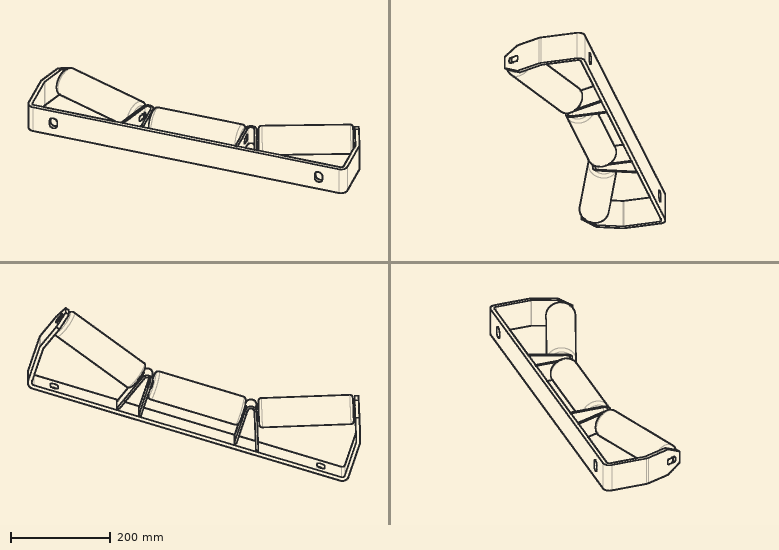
import cadquery as cq
import math

frame_length = 680.0
frame_width = 60.0
tilt = 20.0

frame_thickness = 8.0
bend_radius = 13.5
knee_y = 90.5
arm_tip_y = 171.5
tip_chamfer_width = 17.0
tip_chamfer_length = 31.0

mount_slot_x = 283.0
mount_slot_width = 16.0
mount_slot_length = 24.5

support_width = 40.0
support_thickness = 5.0
support_face_x = 98.5
support_top_y = 95.0
support_bend_radius = 11.5

roller_diameter = frame_width
roller_length = 191.0
roller_end_fillet = 6.0
middle_roller_y = 71.5
side_roller_x = 218.0
side_roller_y = 111.5

shaft_diameter = 15.5
shaft_slot_length = 22.0
flat_width = 12.0
flat_clearance = 1.5

tilt_angle = math.radians(tilt)
sin_tilt = math.sin(tilt_angle)
cos_tilt = math.cos(tilt_angle)
half_length = frame_length / 2
half_width = frame_width / 2
bend_inside_radius = bend_radius - frame_thickness
arm_length = (arm_tip_y - knee_y) / cos_tilt
fold_x = -support_face_x - support_bend_radius
fold_y = support_top_y - support_bend_radius
slot_offset = (shaft_slot_length - shaft_diameter) / 2


def along_side_axis(x, y):
    """Distance of a point from the left roller's centre, measured along that roller's axis."""
    return (x + side_roller_x) * cos_tilt - (y - side_roller_y) * sin_tilt


arm_reach = -along_side_axis(-half_length, knee_y) - frame_thickness
leg_reach = along_side_axis(fold_x, fold_y) - support_bend_radius
middle_reach = support_face_x


def mirrored(left):
    """The same body on the right-hand side."""
    return left.mirror("YZ")


def shaft_slot(plane, depth):
    """Cutter through a plate; the plane lies on the plate at the shaft axis, local x pointing up."""
    slot = cq.Workplane(plane).center(slot_offset, 0)
    rounded = slot.slot2D(shaft_slot_length, shaft_diameter).extrude(depth)
    return rounded.intersect(slot.rect(shaft_slot_length, flat_width).extrude(depth))


def side_shaft_plane(distance):
    """Plane square to the left roller's axis at a distance from its centre, local x pointing up."""
    return cq.Plane(
        origin=(-side_roller_x + distance * cos_tilt, side_roller_y - distance * sin_tilt, 0),
        xDir=(sin_tilt, cos_tilt, 0),
        normal=(cos_tilt, -sin_tilt, 0),
    )


def round_edge(body, point, radius):
    nearest = cq.selectors.NearestToPointSelector((point[0], point[1], 0))
    return body.edges("|Z").edges(nearest).fillet(radius)


def make_frame_strip():
    """Left half of the bent strip."""
    knee = (-half_length, knee_y)
    tip = (-half_length + arm_length * sin_tilt, arm_tip_y)
    inner_tip = (tip[0] + frame_thickness * cos_tilt, tip[1] - frame_thickness * sin_tilt)
    inner_knee = (
        -half_length + frame_thickness,
        knee_y - frame_thickness * math.tan(tilt_angle / 2),
    )
    corner = (-half_length, 0)
    inner_corner = (-half_length + frame_thickness, frame_thickness)
    strip = (
        cq.Workplane("XY")
        .polyline([
            (0, 0), corner, knee, tip, inner_tip, inner_knee, inner_corner, (0, frame_thickness),
        ])
        .close()
        .extrude(half_width, both=True)
    )
    for outer_point in (corner, knee):
        strip = round_edge(strip, outer_point, bend_radius)
    for inner_point in (inner_corner, inner_knee):
        strip = round_edge(strip, inner_point, bend_inside_radius)
    return strip


def cut_arm_tip(strip):
    """Slope both corners of the arm's tip."""
    arm_plane = cq.Plane(
        origin=(-half_length, knee_y, 0),
        xDir=(sin_tilt, cos_tilt, 0),
        normal=(cos_tilt, -sin_tilt, 0),
    )
    for side in (1, -1):
        corner = (
            cq.Workplane(arm_plane)
            .polyline([
                (arm_length, side * half_width),
                (arm_length - tip_chamfer_length, side * half_width),
                (arm_length, side * (half_width - tip_chamfer_width)),
            ])
            .close()
            .extrude(frame_thickness)
        )
        strip = strip.cut(corner)
    return strip


def make_frame():
    half = cut_arm_tip(make_frame_strip())
    half = half.cut(shaft_slot(side_shaft_plane(-arm_reach), -frame_thickness))
    mount_slot = (
        cq.Workplane("XZ")
        .center(-mount_slot_x, 0)
        .slot2D(mount_slot_length, mount_slot_width, 90)
        .extrude(-frame_thickness)
    )
    half = half.cut(mount_slot)
    return half.union(mirrored(half), clean=True)


def folded_outline(radius):
    """Block bounded by an upright side, a round top and a side square to the left roller."""
    shoulder = (fold_x - radius * cos_tilt, fold_y + radius * sin_tilt)
    foot_x = shoulder[0] - (shoulder[1] - frame_thickness) * math.tan(tilt_angle)
    return (
        cq.Workplane("XY")
        .moveTo(foot_x, frame_thickness)
        .lineTo(*shoulder)
        .threePointArc((fold_x, fold_y + radius), (fold_x + radius, fold_y))
        .lineTo(fold_x + radius, frame_thickness)
        .close()
        .extrude(support_width / 2, both=True)
    )


def make_left_support():
    """Folded strip standing on the frame, holding the middle roller and the left roller."""
    outside = folded_outline(support_bend_radius)
    inside = folded_outline(support_bend_radius - support_thickness)
    upright_plane = cq.Plane(
        origin=(-middle_reach, middle_roller_y, 0), xDir=(0, 1, 0), normal=(-1, 0, 0)
    )
    return (
        outside.cut(inside)
        .cut(shaft_slot(upright_plane, support_thickness))
        .cut(shaft_slot(side_shaft_plane(leg_reach), support_thickness))
    )


def make_shaft_end(reach, plate_thickness):
    """Shaft along +X from the origin, flattened where it passes through a plate."""
    round_length = reach - flat_clearance
    flat_end = reach + plate_thickness
    round_part = cq.Workplane("YZ").circle(shaft_diameter / 2).extrude(round_length)
    flat_part = (
        cq.Workplane("YZ")
        .circle(shaft_diameter / 2)
        .extrude(flat_end)
        .intersect(cq.Workplane("YZ").rect(shaft_diameter, flat_width).extrude(flat_end))
    )
    return round_part.union(flat_part)


def make_roller(left_end, right_end):
    """Roller along X centred on the origin, with the shaft end given for each side."""
    drum = (
        cq.Workplane("YZ", origin=(-roller_length / 2, 0, 0))
        .circle(roller_diameter / 2)
        .extrude(roller_length)
        .edges()
        .fillet(roller_end_fillet)
    )
    return drum.union(left_end.mirror("YZ")).union(right_end)


frame = make_frame()
left_support = make_left_support()
middle_end = make_shaft_end(middle_reach, support_thickness)
middle_roller = make_roller(middle_end, middle_end).translate((0, middle_roller_y, 0))
arm_end = make_shaft_end(arm_reach, frame_thickness)
leg_end = make_shaft_end(leg_reach, support_thickness)
left_roller = (
    make_roller(arm_end, leg_end)
    .rotate((0, 0, 0), (0, 0, 1), -tilt)
    .translate((-side_roller_x, side_roller_y, 0))
)

bodies = [frame.solids().val(), middle_roller.solids().val()]
for left_body in (left_support, left_roller):
    bodies.append(left_body.solids().val())
    bodies.append(mirrored(left_body).solids().val())

result = cq.Compound.makeCompound(bodies)